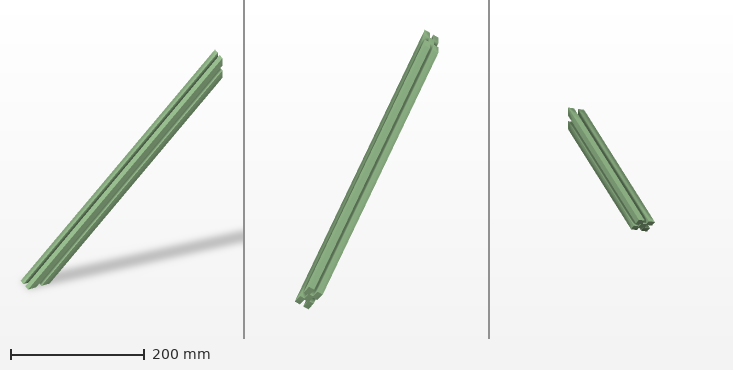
import cadquery as cq
import math

bar_width = 25.4
overall_height = 323.29
slot_width = 6.35
slot_depth = 8.05
slope_angle = 45.0

miter_length = bar_width / math.cos(math.radians(slope_angle))
half_height = overall_height / 2
stock_length = 2 * overall_height


def make_slotted_stock():
    """Uncut bar along Z, centred on the origin, with a slot down each side."""
    stock = cq.Workplane("XY").rect(bar_width, bar_width).extrude(stock_length / 2, both=True)
    slot = (
        cq.Workplane("XY")
        .center(0, (bar_width - slot_depth) / 2)
        .rect(slot_width, slot_depth)
        .extrude(stock_length / 2, both=True)
    )
    for side in range(4):
        stock = stock.cut(slot.rotate((0, 0, 0), (0, 0, 1), 90 * side))
    return stock


def place_on_slope(stock):
    """Tilt the bar and lower it so its outer sloping face passes through the origin."""
    return stock.rotate((0, 0, 0), (1, 0, 0), -slope_angle).translate((0, 0, -miter_length / 2))


def make_miter_envelope():
    """Mitred side outline of the bar, wider than the bar in X so only its ends are cut."""
    outline = [
        (half_height, half_height),
        (-half_height, -half_height),
        (-half_height + miter_length, -half_height),
        (half_height, half_height - miter_length),
    ]
    return cq.Workplane("YZ").polyline(outline).close().extrude(bar_width, both=True)


result = place_on_slope(make_slotted_stock()).intersect(make_miter_envelope())